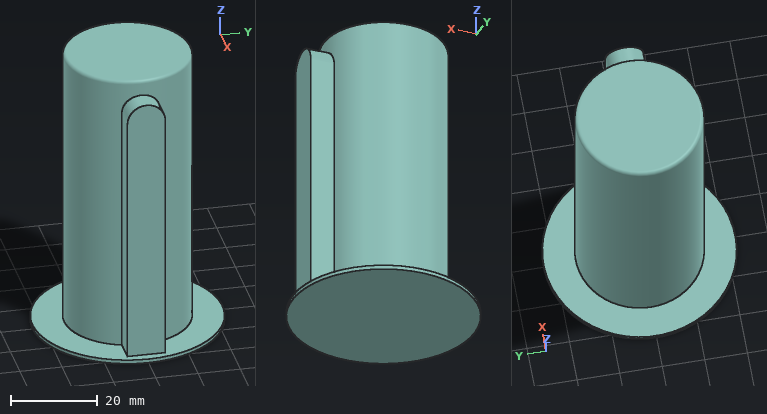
import cadquery as cq

flange_diameter = 45.0
flange_thickness = 1.0

body_diameter = 30.0
overall_height = 70.0
top_fillet = 1.0

rib_width = 9.0
rib_reach = 20.2
rib_top = 66.0


def make_flange():
    return cq.Workplane("XY").circle(flange_diameter / 2).extrude(flange_thickness)


def make_body():
    body = cq.Workplane("XY").circle(body_diameter / 2).extrude(overall_height)
    return body.faces(">Z").edges().fillet(top_fillet)


def make_rib():
    half_width = rib_width / 2
    arc_start = rib_top - half_width
    return (
        cq.Workplane("YZ")
        .moveTo(-half_width, 0)
        .lineTo(half_width, 0)
        .lineTo(half_width, arc_start)
        .threePointArc((0, rib_top), (-half_width, arc_start))
        .close()
        .extrude(rib_reach)
    )


result = make_flange().union(make_body()).union(make_rib())